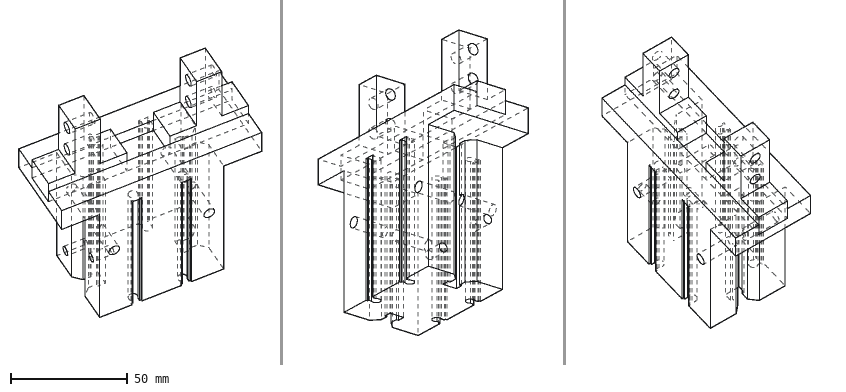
import cadquery as cq


total_height = 113.0
housing_width = 40.0
flange_length = 97.0
block_length = 60.1
block_height = 66.9
flange_top = 79.1

jaw_width = 15.4
slot_floor = 72.5
jaw_base_top = 84.3
jaw_base_length = 38.1
finger_thickness = 12.2
finger_hole_diameter = 5.2
finger_hole_spacing = 14.0
top_hole_drop = 7.0

end_groove_neck_width = 5.1
end_groove_chamfer = 3.6
end_groove_neck_end = 7.6
end_groove_inner_width = 7.3
end_groove_depth = 11.3

sensor_groove_y = 12.0
mouth_width = 4.9
mouth_depth = 0.8
neck_width = 3.2
pocket_diameter = 4.2
pocket_centre_depth = 3.7

mounting_hole_diameter = 5.1
mounting_hole_y = 23.0
mounting_hole_z = 40.0
port_diameter = 4.2
port_depth = 10.0
port_x = 12.0
lower_port_z = 11.1
upper_port_z = 31.0


def box_between(x_range, y_range, z_range):
    """Box that fills the given (low, high) ranges along each axis."""
    size = [high - low for low, high in (x_range, y_range, z_range)]
    corner = (x_range[0], y_range[0], z_range[0])
    return cq.Workplane("XY").box(*size, centered=False).translate(corner)


def half_turn(shape):
    """The same shape turned by 180 degrees about the Z axis."""
    return shape.rotate((0, 0, 0), (0, 0, 1), 180)


def end_groove():
    """Groove in the -Y end of the block: 45-degree lead-ins, a neck and a wider inner part."""
    end_y = -block_length / 2
    neck = end_groove_neck_width / 2
    lead_in = (
        cq.Workplane("XY")
        .moveTo(-neck - end_groove_chamfer, end_y)
        .lineTo(neck + end_groove_chamfer, end_y)
        .lineTo(neck, end_y + end_groove_chamfer)
        .lineTo(-neck, end_y + end_groove_chamfer)
        .close()
        .extrude(block_height)
    )
    height = (0, block_height)
    floor_y = end_y + end_groove_depth
    inner = end_groove_inner_width / 2
    neck_slot = box_between((-neck, neck), (end_y, floor_y), height)
    inner_slot = box_between((-inner, inner), (end_y + end_groove_neck_end, floor_y), height)
    return lead_in.union(neck_slot).union(inner_slot)


def sensor_groove(centre_y):
    """Stepped groove with a round inner pocket in the -X side of the block."""
    side_x = -housing_width / 2
    pocket_x = side_x + pocket_centre_depth
    height = (0, block_height)

    def slot(width, end_x):
        return box_between((side_x, end_x), (centre_y - width / 2, centre_y + width / 2), height)

    pocket = (
        cq.Workplane("XY")
        .center(pocket_x, centre_y)
        .circle(pocket_diameter / 2)
        .extrude(block_height)
    )
    return slot(mouth_width, side_x + mouth_depth).union(slot(neck_width, pocket_x)).union(pocket)


def ports():
    """Two blind ports in the -Y end of the block."""
    return (
        cq.Workplane("XZ", origin=(0, -block_length / 2, 0))
        .pushPoints([(-port_x, lower_port_z), (port_x, upper_port_z)])
        .circle(port_diameter / 2)
        .extrude(-port_depth)
    )


def mounting_holes():
    """Two holes through the block along X."""
    return (
        cq.Workplane("YZ")
        .pushPoints([(side * mounting_hole_y, mounting_hole_z) for side in (-1, 1)])
        .circle(mounting_hole_diameter / 2)
        .extrude(housing_width / 2, both=True)
    )


def make_housing():
    half_width = housing_width / 2
    across = (-half_width, half_width)
    flange_ends = (-flange_length / 2, flange_length / 2)
    block = box_between(across, (-block_length / 2, block_length / 2), (0, block_height))
    flange = box_between(across, flange_ends, (block_height, flange_top))
    jaw_slot = box_between((-jaw_width / 2, jaw_width / 2), flange_ends, (slot_floor, flange_top))
    body = block.union(flange).cut(jaw_slot)

    grooves = [end_groove()]
    for side in (-1, 1):
        grooves.append(sensor_groove(side * sensor_groove_y))
    for groove in grooves:
        body = body.cut(groove).cut(half_turn(groove))

    return body.cut(ports()).cut(mounting_holes())


def make_jaw(centre_y):
    """Inverted-T jaw: a sliding base with an upright drilled finger."""
    across = (-jaw_width / 2, jaw_width / 2)

    def centred(length):
        return (centre_y - length / 2, centre_y + length / 2)

    base = box_between(across, centred(jaw_base_length), (slot_floor, jaw_base_top))
    finger = box_between(across, centred(finger_thickness), (jaw_base_top, total_height))
    upper_hole_z = total_height - top_hole_drop
    holes = (
        cq.Workplane("XZ", origin=(0, centre_y, 0))
        .pushPoints([(0, upper_hole_z), (0, upper_hole_z - finger_hole_spacing)])
        .circle(finger_hole_diameter / 2)
        .extrude(finger_thickness / 2, both=True)
    )
    return base.union(finger).cut(holes)


housing = make_housing()

jaw_offset = (flange_length - jaw_base_length) / 2
jaws = [make_jaw(side * jaw_offset) for side in (-1, 1)]

result = cq.Compound.makeCompound([housing.val(), *[jaw.val() for jaw in jaws]])